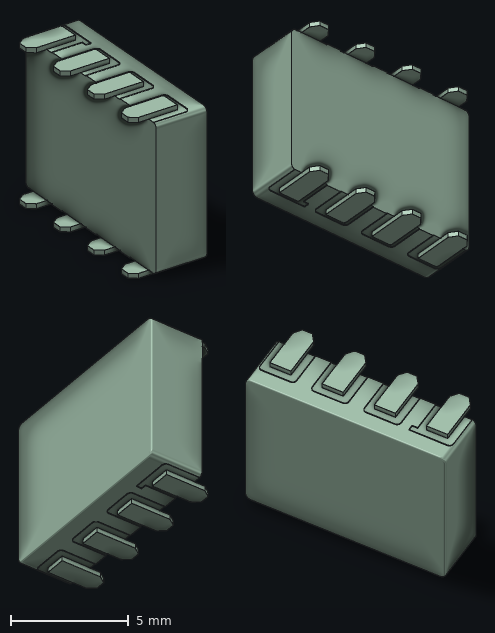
import cadquery as cq

body_length = 9.78
body_depth = 2.67
body_height = 7.35
corner_radius = 0.3
back_edge_radius = 0.09

pin_count = 4
pin_pitch = 2.54
pin_width = 1.03
pin_tip_width = 0.49
pin_taper_length = 0.36
pin_thickness = 0.24
pin_overhang = 0.89
pin_seat_length = 1.48
overall_height = 7.77

recess_width = 1.78
recess_length = 1.85
recess_corner_radius = 0.2
notch_reach = 0.27
notch_length = 0.27

recess_floor = overall_height / 2 - pin_thickness
recess_depth = body_height / 2 - recess_floor

pin_centres = [(i - (pin_count - 1) / 2) * pin_pitch for i in range(pin_count)]


def make_body():
    """Block with rounded long edges and a softened back rim."""
    block = cq.Workplane("XY").box(body_length, body_depth, body_height)
    block = block.translate((0, body_depth / 2, 0))
    block = block.edges("|Y").fillet(corner_radius)
    return block.faces(">Y").edges().fillet(back_edge_radius)


def make_recess(x_centre):
    """Recess cutter with both back corners rounded."""
    cutter = cq.Workplane("XY").box(
        recess_width, recess_length, recess_depth, centered=(True, False, False)
    )
    cutter = cutter.edges("|Z and >Y").fillet(recess_corner_radius)
    return cutter.translate((x_centre, 0, recess_floor))


def make_notched_recess(x_centre):
    """Recess cutter whose inner back corner runs sideways as a square notch."""
    left = x_centre - recess_width / 2
    right = x_centre + recess_width / 2
    return (
        cq.Workplane("XY", origin=(0, 0, recess_floor))
        .moveTo(left, 0)
        .lineTo(right, 0)
        .lineTo(right, recess_length - notch_length)
        .lineTo(right + notch_reach, recess_length - notch_length)
        .lineTo(right + notch_reach, recess_length)
        .lineTo(left + recess_corner_radius, recess_length)
        .radiusArc((left, recess_length - recess_corner_radius), -recess_corner_radius)
        .close()
        .extrude(recess_depth)
    )


def make_pin(x_centre):
    """Flat pin with a tapered tip beyond the front face."""
    shoulder = pin_taper_length - pin_overhang
    return (
        cq.Workplane("XY", origin=(x_centre, 0, recess_floor))
        .moveTo(-pin_width / 2, pin_seat_length)
        .lineTo(-pin_width / 2, shoulder)
        .lineTo(-pin_tip_width / 2, -pin_overhang)
        .lineTo(pin_tip_width / 2, -pin_overhang)
        .lineTo(pin_width / 2, shoulder)
        .lineTo(pin_width / 2, pin_seat_length)
        .close()
        .extrude(pin_thickness)
    )


recesses = make_notched_recess(pin_centres[0])
for x in pin_centres[1:]:
    recesses = recesses.add(make_recess(x))
recesses = recesses.combine()

pins = make_pin(pin_centres[0])
for x in pin_centres[1:]:
    pins = pins.add(make_pin(x))
pins = pins.combine()

result = (
    make_body()
    .cut(recesses)
    .cut(recesses.mirror("XY"))
    .union(pins)
    .union(pins.mirror("XY"))
)